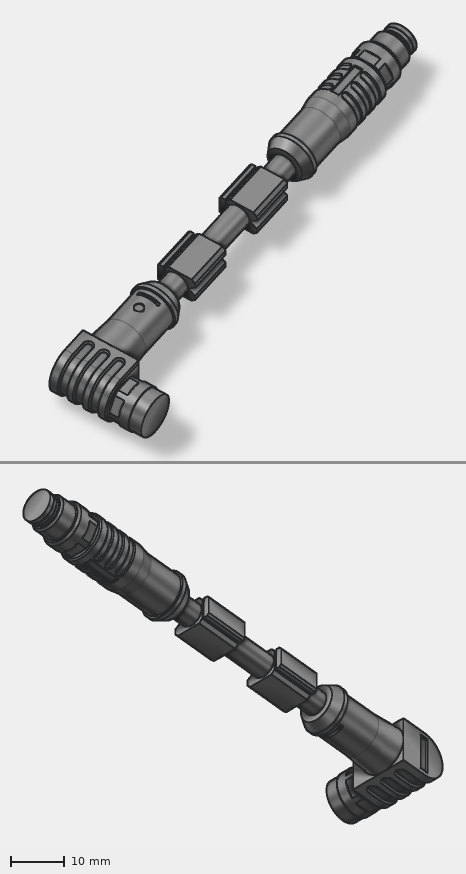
import cadquery as cq
import math

TOTAL_LENGTH = 107.5
GRIP_DIAMETER = 10.3
GRIP_RADIUS = GRIP_DIAMETER / 2
SLEEVE_DIAMETER = 9.4
NUT_DIAMETER = 9.6
CABLE_DIAMETER = 5.0
CABLE_LENGTH = 75.2
TIP_Y = TOTAL_LENGTH - GRIP_RADIUS

TIP_SECTIONS = [
    (6.9, 6.9, 1.1),
    (6.7, 6.7, 0.9),
    (6.5, 6.5, 0.6),
    (7.2, 8.0, 0.5),
    (8.0, 8.0, 3.4),
    (8.8, NUT_DIAMETER, 0.6),
    (NUT_DIAMETER, NUT_DIAMETER, 2.4),
]
NUT_FLATS_LENGTH = 2.2
NUT_FLATS_WIDTH = 8.8
NECK_DIAMETER = 8.0
NECK_LENGTH = 0.4
GRIP_RIM_CHAMFER = 0.3
GRIP_LENGTH = 11.9
GRIP_TAPER_LENGTH = 2.6
STRAIGHT_SLEEVE_LENGTH = 8.4

COLLAR_SECTIONS = [
    (GRIP_DIAMETER, GRIP_DIAMETER, 1.0),
    (GRIP_DIAMETER, 8.0, 2.2),
]

SLOT_WALL_RUN = 0.3

GRIP_SLOT_COUNT = 3
GRIP_SLOT_WIDTH = 1.7
GRIP_SLOT_PITCH = 3.0
GRIP_SLOT_START = 1.9
GRIP_SLOT_DEPTH = 0.2
GRIP_SLOT_INNER_X = 1.2
CENTRE_SLOT_WIDTH = 1.8
CENTRE_SLOT_DEPTH = 0.5

CLIP_LENGTH = 10.0
CLIP_CENTRES_Y = (54.2, 34.1)
CLIP_HEIGHT = 6.2
CLIP_LEFT_X = -2.7
CLIP_RIGHT_X = 4.2
CLIP_CHAMFER = 0.8
PLATE_OUTER_X = -4.4
PLATE_THICKNESS = 1.3
PLATE_HEIGHT = 4.7
PLATE_CHAMFER = 0.4
CLIP_NECK_HEIGHT = 3.9
CLIP_NECK_SETBACK = 0.3
CLIP_MOUTH_HEIGHT = 2.4

HEAD_BACK_Y = 5.8
HEAD_END_X = 8.0
HEAD_SLOT_COUNT = 3
HEAD_SLOT_WIDTH = 2.3
HEAD_SLOT_PITCH = 3.5
HEAD_SLOT_FIRST_X = -2.2
HEAD_SLOT_TOP_Y = 4.4
HEAD_SLOT_DEPTH = 0.5
FACE_SLOT_WIDTH = 1.9
FACE_SLOT_HEIGHT = 8.3
FACE_SLOT_DEPTH = 0.5
STEM_FLARE_LENGTH = 6.5
STEM_SLEEVE_LENGTH = 9.0
MOUTH_END_X = 15.6
MOUTH_DIAMETER = 9.1
MOUTH_LENGTH = 2.8
PLUG_RING_LENGTH = 2.3

NOTCH_WIDTH = 0.6
NOTCH_Y = 19.9
NOTCH_FLOOR_Z = 4.0
DIMPLE_DIAMETER = 2.0
DIMPLE_Y = 16.8
DIMPLE_DEPTH = 0.3


def turned(sections):
    """Stack turned sections along +X from the origin and revolve them about X."""
    outline = [(0, 0)]
    station = 0
    for start_diameter, end_diameter, length in sections:
        start_point = (station, start_diameter / 2)
        if start_point != outline[-1]:
            outline.append(start_point)
        station += length
        outline.append((station, end_diameter / 2))
    outline.append((station, 0))
    return cq.Workplane("XY").polyline(outline).close().revolve(360, (0, 0), (1, 0))


def total_length(sections):
    """Length of a stack of turned sections."""
    return sum(length for _, _, length in sections)


def hexagon(width, start, length):
    """Hexagonal bar along X with flats facing +Z and -Z."""
    across_corners = width / math.cos(math.pi / 6)
    return cq.Workplane("YZ").workplane(offset=start).polygon(6, across_corners).extrude(length)


def box(x_range, y_range, z_range):
    """Box spanning the given (low, high) ranges."""
    sizes = [high - low for low, high in (x_range, y_range, z_range)]
    corner = (x_range[0], y_range[0], z_range[0])
    return cq.Workplane("XY").box(*sizes, centered=False).translate(corner)


def nut_flats(start, length):
    """Round bar along X carrying six wrench flats."""
    bar = turned([(NUT_DIAMETER, NUT_DIAMETER, length)]).translate((start, 0, 0))
    return bar.intersect(hexagon(NUT_FLATS_WIDTH, start, length))


def ring_groove(width, depth):
    """Ring centred on the origin about X that cuts a groove with sloping walls."""
    floor_diameter = GRIP_DIAMETER - 2 * depth
    ring = turned([(2 * GRIP_DIAMETER, 2 * GRIP_DIAMETER, width)])
    core = turned([
        (GRIP_DIAMETER, floor_diameter, SLOT_WALL_RUN),
        (floor_diameter, floor_diameter, width - 2 * SLOT_WALL_RUN),
        (floor_diameter, GRIP_DIAMETER, SLOT_WALL_RUN),
    ])
    return ring.cut(core).translate((-width / 2, 0, 0))


def straight_plug():
    """Straight plug at the +Y end of the cable."""
    flats_start = total_length(TIP_SECTIONS)
    neck_start = flats_start + NUT_FLATS_LENGTH
    grip_start = neck_start + NECK_LENGTH
    rear_sections = [
        (NECK_DIAMETER, NECK_DIAMETER, NECK_LENGTH),
        (GRIP_DIAMETER - 2 * GRIP_RIM_CHAMFER, GRIP_DIAMETER, GRIP_RIM_CHAMFER),
        (GRIP_DIAMETER, GRIP_DIAMETER, GRIP_LENGTH - GRIP_RIM_CHAMFER),
        (GRIP_DIAMETER, SLEEVE_DIAMETER, GRIP_TAPER_LENGTH),
        (SLEEVE_DIAMETER, SLEEVE_DIAMETER, STRAIGHT_SLEEVE_LENGTH),
        *COLLAR_SECTIONS,
    ]
    plug = turned(TIP_SECTIONS).union(nut_flats(flats_start, NUT_FLATS_LENGTH))
    plug = plug.union(turned(rear_sections).translate((neck_start, 0, 0)))
    plug = plug.rotate((0, 0, 0), (0, 0, 1), -90).translate((0, TIP_Y, 0))
    return plug.cut(grip_slots(TIP_Y - grip_start))


def grip_slots(grip_top_y):
    """Round-ended slots wrapping each flank, plus a long slot above and below."""
    first_y = grip_top_y - GRIP_SLOT_START - GRIP_SLOT_WIDTH / 2
    last_y = first_y - (GRIP_SLOT_COUNT - 1) * GRIP_SLOT_PITCH
    centres = []
    for side in (-1, 1):
        for index in range(GRIP_SLOT_COUNT):
            centre_x = side * (GRIP_SLOT_INNER_X + GRIP_RADIUS)
            centres.append((centre_x, first_y - index * GRIP_SLOT_PITCH))
    windows = (
        cq.Workplane("XY").workplane(offset=-GRIP_DIAMETER)
        .pushPoints(centres).slot2D(GRIP_DIAMETER, GRIP_SLOT_WIDTH)
        .extrude(2 * GRIP_DIAMETER)
    )
    groove = ring_groove(GRIP_SLOT_WIDTH, GRIP_SLOT_DEPTH).rotate((0, 0, 0), (0, 0, 1), 90)
    grooves = groove.translate((0, first_y, 0))
    for index in range(1, GRIP_SLOT_COUNT):
        grooves = grooves.union(groove.translate((0, first_y - index * GRIP_SLOT_PITCH, 0)))
    slots = grooves.intersect(windows)
    y_range = (last_y - GRIP_SLOT_WIDTH / 2, first_y + GRIP_SLOT_WIDTH / 2)
    x_range = (-CENTRE_SLOT_WIDTH / 2, CENTRE_SLOT_WIDTH / 2)
    floor_z = GRIP_RADIUS - CENTRE_SLOT_DEPTH
    for z_range in ((floor_z, GRIP_DIAMETER), (-GRIP_DIAMETER, -floor_z)):
        slots = slots.union(box(x_range, y_range, z_range))
    return slots


def clip(centre_y):
    """Cable clip: chamfered block with a V mouth at +X and a label plate at -X."""
    y_range = (centre_y - CLIP_LENGTH / 2, centre_y + CLIP_LENGTH / 2)
    half_height = CLIP_HEIGHT / 2
    half_plate = PLATE_HEIGHT / 2
    half_neck = CLIP_NECK_HEIGHT / 2
    plate_inner_x = PLATE_OUTER_X + PLATE_THICKNESS
    block = box((CLIP_LEFT_X, CLIP_RIGHT_X), y_range, (-half_height, half_height))
    block = block.edges("|Y").chamfer(CLIP_CHAMFER)
    plate = box((PLATE_OUTER_X, plate_inner_x), y_range, (-half_plate, half_plate))
    plate = plate.faces("<X").edges("|Y").chamfer(PLATE_CHAMFER)
    neck_y_range = (y_range[0] + CLIP_NECK_SETBACK, y_range[1] - CLIP_NECK_SETBACK)
    neck = box((plate_inner_x, CLIP_LEFT_X), neck_y_range, (-half_neck, half_neck))
    mouth = (
        cq.Workplane("XZ", origin=(0, y_range[1], 0))
        .moveTo(CABLE_DIAMETER / 2, 0)
        .lineTo(CLIP_RIGHT_X, CLIP_MOUTH_HEIGHT / 2)
        .lineTo(CLIP_RIGHT_X, -CLIP_MOUTH_HEIGHT / 2)
        .close().extrude(CLIP_LENGTH)
    )
    return block.cut(mouth).union(plate).union(neck)


def head_slot():
    """Slot around the nose of the head, running out round-ended on its flat faces."""
    full_range = (-GRIP_DIAMETER, GRIP_DIAMETER)
    nose_half = box(full_range, (-GRIP_DIAMETER, 0), full_range)
    slot = ring_groove(HEAD_SLOT_WIDTH, HEAD_SLOT_DEPTH).intersect(nose_half)
    rim_length = HEAD_SLOT_TOP_Y + HEAD_SLOT_WIDTH
    wall_angle = math.degrees(math.atan2(SLOT_WALL_RUN, HEAD_SLOT_DEPTH))
    pocket = (
        cq.Workplane("XY").workplane(offset=GRIP_RADIUS)
        .center(0, HEAD_SLOT_TOP_Y - rim_length / 2)
        .slot2D(rim_length, HEAD_SLOT_WIDTH, 90)
        .extrude(-HEAD_SLOT_DEPTH, taper=wall_angle)
    )
    return slot.union(pocket).union(pocket.mirror("XY"))


def head():
    """Round-nosed block of the angled plug, its nose centred on the plug axis."""
    block = (
        cq.Workplane("YZ").workplane(offset=-GRIP_RADIUS)
        .moveTo(HEAD_BACK_Y, GRIP_RADIUS).lineTo(0, GRIP_RADIUS)
        .threePointArc((-GRIP_RADIUS, 0), (0, -GRIP_RADIUS))
        .lineTo(HEAD_BACK_Y, -GRIP_RADIUS).close()
        .extrude(HEAD_END_X + GRIP_RADIUS)
    )
    block = block.faces(">X").chamfer(GRIP_RIM_CHAMFER)
    slot = head_slot()
    for index in range(HEAD_SLOT_COUNT):
        block = block.cut(slot.translate((HEAD_SLOT_FIRST_X + index * HEAD_SLOT_PITCH, 0, 0)))
    face_slot = box(
        (-GRIP_RADIUS, -GRIP_RADIUS + FACE_SLOT_DEPTH),
        (-FACE_SLOT_WIDTH / 2, FACE_SLOT_WIDTH / 2),
        (-FACE_SLOT_HEIGHT / 2, FACE_SLOT_HEIGHT / 2),
    )
    return block.cut(face_slot)


def plug_end():
    """Round end of the angled plug that carries the flats and the mouth."""
    ring_end = MOUTH_END_X - MOUTH_LENGTH
    flats_end = ring_end - PLUG_RING_LENGTH
    neck_end = flats_end - NUT_FLATS_LENGTH
    neck = turned([(NECK_DIAMETER, NECK_DIAMETER, neck_end)])
    mouth = turned([
        (NUT_DIAMETER, NUT_DIAMETER, PLUG_RING_LENGTH),
        (MOUTH_DIAMETER, MOUTH_DIAMETER, MOUTH_LENGTH),
    ]).translate((flats_end, 0, 0))
    return neck.union(nut_flats(neck_end, NUT_FLATS_LENGTH)).union(mouth)


def stem():
    """Cable-side sleeve of the angled plug, with two notches and a dimple."""
    sleeve = turned([
        (GRIP_DIAMETER, SLEEVE_DIAMETER, STEM_FLARE_LENGTH),
        (SLEEVE_DIAMETER, SLEEVE_DIAMETER, STEM_SLEEVE_LENGTH),
        *COLLAR_SECTIONS,
    ])
    sleeve = sleeve.rotate((0, 0, 0), (0, 0, 1), 90).translate((0, HEAD_BACK_Y, 0))
    x_range = (-GRIP_RADIUS, GRIP_RADIUS)
    y_range = (NOTCH_Y - NOTCH_WIDTH / 2, NOTCH_Y + NOTCH_WIDTH / 2)
    for z_range in ((NOTCH_FLOOR_Z, GRIP_DIAMETER), (-GRIP_DIAMETER, -NOTCH_FLOOR_Z)):
        sleeve = sleeve.cut(box(x_range, y_range, z_range))
    dimple = (
        cq.Workplane("XY").workplane(offset=SLEEVE_DIAMETER / 2 - DIMPLE_DEPTH)
        .center(0, DIMPLE_Y).circle(DIMPLE_DIAMETER / 2).extrude(GRIP_DIAMETER)
    )
    return sleeve.cut(dimple)


cable = cq.Workplane("XZ").circle(CABLE_DIAMETER / 2).extrude(-CABLE_LENGTH)

result = cable.union(straight_plug())
for clip_y in CLIP_CENTRES_Y:
    result = result.union(clip(clip_y))
result = result.union(head()).union(plug_end()).union(stem())